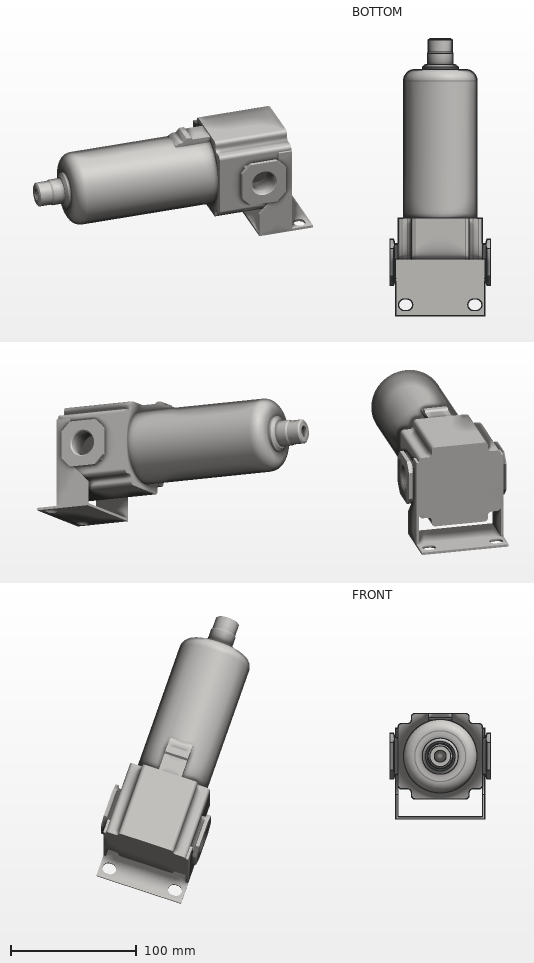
import cadquery as cq


BODY_HALF_WIDTH = 33.5
BODY_HALF_HEIGHT = 34.0
RIB_HALF_WIDTH = 23.0
SHOULDER_HALF_HEIGHT = 26.0
BODY_CORNER_RADIUS = 3.0
BODY_LENGTH = 60.0
BODY_BACK_Y = 25.0
BODY_FRONT_Y = BODY_BACK_Y - BODY_LENGTH

BOWL_RADIUS = 29.2
BOWL_LENGTH = 118.0
BOWL_END_RADIUS = 9.0
COLLAR_RADIUS = 14.3
COLLAR_LENGTH = 2.0
COLLAR_TIP_RADIUS = 11.7
COLLAR_TAPER_LENGTH = 2.0
STEM_RADIUS = 10.3
STEM_LENGTH = 8.7
TIP_RADIUS = 9.6
TIP_STEP_LENGTH = 1.3
TIP_LENGTH = 9.5
TIP_FACE_RADIUS = 8.3
TIP_CHAMFER_LENGTH = 1.0
TIP_END = (
    BOWL_LENGTH + COLLAR_LENGTH + COLLAR_TAPER_LENGTH + STEM_LENGTH
    + TIP_STEP_LENGTH + TIP_LENGTH + TIP_CHAMFER_LENGTH
)
DRAIN_RADIUS = 4.7
DRAIN_DEPTH = 15.0

LATCH_WIDTH = 19.0
LATCH_TOP_Z = 32.5
LATCH_CREST_Z = BODY_HALF_HEIGHT
LATCH_STEP_Z = 30.7
LATCH_TIP_Z = 28.8
LATCH_BASE_Z = 25.0
LATCH_CREST_FOOT = 14.3
LATCH_CREST_START = 15.8
LATCH_CREST_END = 19.6
LATCH_STEP_START = 22.5
LATCH_STEP_END = 25.6
LATCH_LENGTH = 29.0

PORT_FACE_X = 40.0
NUT_WIDTH = 36.6
NUT_CORNER = 7.3
NUT_RIM_THICKNESS = 2.9
NUT_BEVEL_THICKNESS = 0.7
NUT_BEVEL_INSET = 2.0
NUT_BACK_X = PORT_FACE_X - NUT_RIM_THICKNESS - NUT_BEVEL_THICKNESS
NECK_WIDTH = 30.0
NECK_CORNER = 0.7
PORT_RADIUS = 9.6
PORT_MOUTH_RADIUS = 10.6
PORT_DEPTH = 20.0

SHEET = 2.0
BRACKET_HALF_WIDTH = BODY_HALF_WIDTH + SHEET
BRACKET_BOTTOM_Z = -50.0
BRACKET_TOP_Z = 22.2
BRACKET_TOP_DEPTH = 11.3
BRACKET_TOP_RADIUS = 1.2
BRACKET_FOOT_DEPTH = 27.5
BRACKET_SLOPE_Z = -30.3
FLANGE_LENGTH = 17.5
SLOT_SPACING = 55.0
SLOT_LENGTH = 11.0
SLOT_WIDTH = 9.0


def along_x(x):
    """Workplane facing +X at the given X, with local axes Y and Z."""
    return cq.Workplane("YZ", origin=(x, 0, 0))


def make_body():
    """Cross-shaped bar with every long edge rounded."""
    def bar(half_width, half_height):
        return (
            cq.Workplane("XZ", origin=(0, BODY_BACK_Y, 0))
            .rect(2 * half_width, 2 * half_height)
            .extrude(BODY_LENGTH)
        )

    wide = bar(BODY_HALF_WIDTH, SHOULDER_HALF_HEIGHT)
    tall = bar(RIB_HALF_WIDTH, BODY_HALF_HEIGHT)
    return wide.union(tall).edges("|Y").fillet(BODY_CORNER_RADIUS)


def make_bowl():
    """Bowl, collar and stepped drain stem as one turned profile with a blind drain hole."""
    collar_end = BOWL_LENGTH + COLLAR_LENGTH
    taper_end = collar_end + COLLAR_TAPER_LENGTH
    stem_end = taper_end + STEM_LENGTH
    tip_start = stem_end + TIP_STEP_LENGTH
    tip_edge = tip_start + TIP_LENGTH
    drain_floor = TIP_END - DRAIN_DEPTH
    profile = (
        cq.Workplane("XY", origin=(0, BODY_FRONT_Y, 0))
        .moveTo(0, 0)
        .lineTo(BOWL_RADIUS, 0)
        .lineTo(BOWL_RADIUS, -(BOWL_LENGTH - BOWL_END_RADIUS))
        .radiusArc((BOWL_RADIUS - BOWL_END_RADIUS, -BOWL_LENGTH), BOWL_END_RADIUS)
        .lineTo(COLLAR_RADIUS, -BOWL_LENGTH)
        .lineTo(COLLAR_RADIUS, -collar_end)
        .lineTo(COLLAR_TIP_RADIUS, -taper_end)
        .lineTo(STEM_RADIUS, -taper_end)
        .lineTo(STEM_RADIUS, -stem_end)
        .lineTo(TIP_RADIUS, -tip_start)
        .lineTo(TIP_RADIUS, -tip_edge)
        .lineTo(TIP_FACE_RADIUS, -TIP_END)
        .lineTo(DRAIN_RADIUS, -TIP_END)
        .lineTo(DRAIN_RADIUS, -drain_floor)
        .lineTo(0, -drain_floor)
        .close()
    )
    return profile.revolve(360, (0, 0, 0), (0, 1, 0))


def make_latch():
    """Ridged latch running forward from the body, sunk into the top of the bowl."""
    outline = [
        (0, LATCH_BASE_Z),
        (0, LATCH_TOP_Z),
        (LATCH_CREST_FOOT, LATCH_TOP_Z),
        (LATCH_CREST_START, LATCH_CREST_Z),
        (LATCH_CREST_END, LATCH_CREST_Z),
        (LATCH_STEP_START, LATCH_STEP_Z),
        (LATCH_STEP_END, LATCH_STEP_Z),
        (LATCH_LENGTH, LATCH_TIP_Z),
        (LATCH_LENGTH, LATCH_BASE_Z),
    ]
    points = [(BODY_FRONT_Y - forward, z) for forward, z in outline]
    return along_x(-LATCH_WIDTH / 2).polyline(points).close().extrude(LATCH_WIDTH)


def make_fitting():
    """Neck and eight-sided flange on the +X side; the four long sides are bevelled at the back."""
    neck = (
        along_x(0)
        .rect(NECK_WIDTH, NECK_WIDTH)
        .extrude(NUT_BACK_X)
        .edges("|X")
        .chamfer(NECK_CORNER)
    )
    octagon = (
        along_x(NUT_BACK_X)
        .rect(NUT_WIDTH, NUT_WIDTH)
        .extrude(PORT_FACE_X - NUT_BACK_X)
        .edges("|X")
        .chamfer(NUT_CORNER)
    )
    small_side = NUT_WIDTH - 2 * NUT_BEVEL_INSET
    bevel = (
        along_x(NUT_BACK_X)
        .rect(small_side, small_side)
        .workplane(offset=NUT_BEVEL_THICKNESS)
        .rect(NUT_WIDTH, NUT_WIDTH)
        .loft(ruled=True)
    )
    rim = (
        along_x(PORT_FACE_X - NUT_RIM_THICKNESS)
        .rect(NUT_WIDTH, NUT_WIDTH)
        .extrude(NUT_RIM_THICKNESS)
    )
    return neck.union(octagon.intersect(bevel.union(rim)))


def make_port():
    """Blind port bored from the +X face, with a 45 degree countersink at its mouth."""
    mouth_depth = PORT_MOUTH_RADIUS - PORT_RADIUS
    return (
        cq.Workplane("XY")
        .moveTo(PORT_FACE_X, 0)
        .lineTo(PORT_FACE_X, PORT_MOUTH_RADIUS)
        .lineTo(PORT_FACE_X - mouth_depth, PORT_RADIUS)
        .lineTo(PORT_FACE_X - PORT_DEPTH, PORT_RADIUS)
        .lineTo(PORT_FACE_X - PORT_DEPTH, 0)
        .close()
        .revolve(360, (0, 0, 0), (1, 0, 0))
    )


def make_bracket():
    """U-shaped bracket: two side plates, a bottom plate and a slotted rear flange."""
    foot_y = BODY_BACK_Y - BRACKET_FOOT_DEPTH
    top_y = BODY_BACK_Y - BRACKET_TOP_DEPTH
    slope_top_z = BRACKET_SLOPE_Z + BRACKET_FOOT_DEPTH - BRACKET_TOP_DEPTH
    side = (
        along_x(BODY_HALF_WIDTH)
        .moveTo(BODY_BACK_Y, BRACKET_BOTTOM_Z)
        .lineTo(foot_y, BRACKET_BOTTOM_Z)
        .lineTo(foot_y, BRACKET_SLOPE_Z)
        .lineTo(top_y, slope_top_z)
        .lineTo(top_y, BRACKET_TOP_Z - BRACKET_TOP_RADIUS)
        .radiusArc((top_y + BRACKET_TOP_RADIUS, BRACKET_TOP_Z), BRACKET_TOP_RADIUS)
        .lineTo(BODY_BACK_Y, BRACKET_TOP_Z)
        .close()
        .extrude(SHEET)
    )
    plate_length = BRACKET_FOOT_DEPTH + FLANGE_LENGTH
    plate = (
        cq.Workplane("XY", origin=(0, foot_y + plate_length / 2, BRACKET_BOTTOM_Z))
        .rect(2 * BRACKET_HALF_WIDTH, plate_length)
        .extrude(SHEET)
    )
    slots = (
        cq.Workplane("XY", origin=(0, BODY_BACK_Y + FLANGE_LENGTH / 2, BRACKET_BOTTOM_Z))
        .pushPoints([(-SLOT_SPACING / 2, 0), (SLOT_SPACING / 2, 0)])
        .slot2D(SLOT_LENGTH, SLOT_WIDTH)
        .extrude(SHEET)
    )
    return plate.cut(slots).union(side).union(side.mirror("YZ"))


fitting = make_fitting()
port = make_port()
result = make_body().union(make_bowl()).union(make_latch()).union(make_bracket())
result = result.union(fitting).union(fitting.mirror("YZ"))
result = result.cut(port).cut(port.mirror("YZ"))